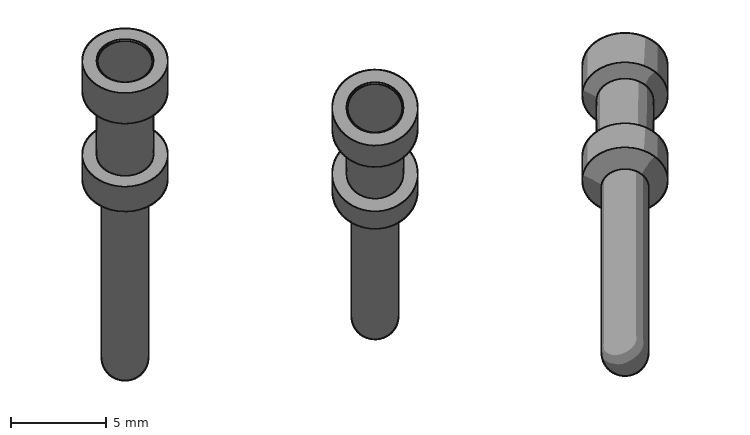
import cadquery as cq
import math

length = 25.0

flange_radius = 2.25
neck_radius = 1.5
pin_radius = 1.25
bore_radius = 1.42

head_height = 2.45
collar_height = 2.0
collar_depth = 7.5
bore_depth = 7.5
bore_chamfer = 0.08
cone_angle = math.radians(30)


def cone_drop(inner_radius):
    """Height of the cone that runs from a flange in to a thinner shank."""
    return (flange_radius - inner_radius) * math.tan(cone_angle)


head_bottom = length - head_height
neck_top = head_bottom - cone_drop(neck_radius)
collar_top = length - collar_depth
collar_bottom = collar_top - collar_height
pin_top = collar_bottom - cone_drop(pin_radius)
tip_offset = pin_radius * math.sqrt(0.5)

body = (
    cq.Workplane("XZ")
    .moveTo(0, 0)
    .threePointArc((tip_offset, pin_radius - tip_offset), (pin_radius, pin_radius))
    .lineTo(pin_radius, pin_top)
    .lineTo(flange_radius, collar_bottom)
    .lineTo(flange_radius, collar_top)
    .lineTo(neck_radius, collar_top)
    .lineTo(neck_radius, neck_top)
    .lineTo(flange_radius, head_bottom)
    .lineTo(flange_radius, length)
    .lineTo(0, length)
    .close()
    .revolve(360, (0, 0), (0, 1))
)

bore = (
    cq.Workplane("XY")
    .workplane(offset=length - bore_depth)
    .circle(bore_radius)
    .extrude(bore_depth)
)
lead_in = (
    cq.Workplane("XY")
    .workplane(offset=length - bore_chamfer)
    .circle(bore_radius)
    .workplane(offset=bore_chamfer)
    .circle(bore_radius + bore_chamfer)
    .loft()
)

result = body.cut(bore).cut(lead_in)